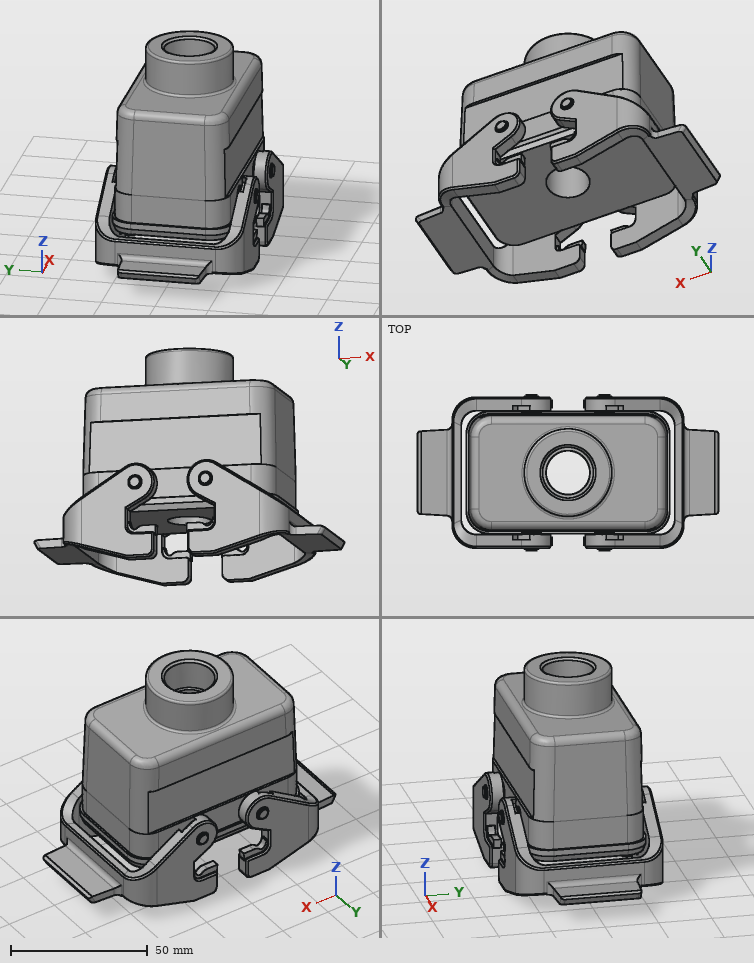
import cadquery as cq
import math


flange_half_x = 37.2
flange_half_y = 22.3
flange_corner = 8.4
flange_height = 4.6
flange_bevel_height = 2.3
flange_bevel_inset = 0.9
body_half_x = 36.3
body_half_y = 21.5
body_corner = 7.6
draft_start = 15.5
draft_angle = 1.4
body_top = 47.5
top_round = 3.0
panel_top = 34.3
panel_depth = 1.0

collar_diameter = 32.0
collar_top = 61.2
collar_round = 0.9
bore_diameter = 18.6
bore_depth = 12.3
bore_chamfer = 0.9
passage_diameter = 16.0

hinge_x = 13.3
hinge_z = 9.8
hinge_root = 20.4
boss_diameter = 7.0
boss_face = 22.0
pin_diameter = 5.2
pin_chamfer = 0.16
pin_shoulder = 27.9
pin_tip_diameter = 4.0
pin_end = 28.5

eye_radius = 7.0
arm_inner = 22.5
arm_outer = 27.6
wall_inner = 38.9
wall_outer = 42.4
bend_radius = 8.8
wall_top = -0.2
wall_bottom = -10.6
edge_bevel = 0.7
bend_sections = 9

throat_x = -16.4
throat_top = 0.0
throat_floor = -8.9
throat_round = 2.9
hook_end = -6.4
hook_bottom = -18.0
hook_heel = -16.6
hook_top_round = 0.8
hook_bottom_round = 2.4

lip_inner = 23.6
lip_outer = 26.5
lip_top = -6.3
lip_overhang = 0.5
lip_seat = (-13.4, -7.6)
lip_rise = -10.1
lip_heel = (-15.7, -4.6)

notch_outer = 24.4
notch_start = -20.2
notch_length = 6.9
notch_depth = 3.6

tab_end = 55.0
tab_top = -7.4
tab_neck_half = 15.7
tab_tip_half = 15.1
tab_tip_slope = 1.4
tab_tip_drop = 0.7
tab_tip_round = 1.3
tab_root_flare = 2.0


def rounded_block(half_x, half_y, corner, bottom, height):
    block = cq.Workplane("XY", origin=(0, 0, bottom)).rect(2 * half_x, 2 * half_y).extrude(height)
    return block.edges("|Z").fillet(corner)


def cylinder_along_y(x, diameter, y_from, y_to):
    """Cylinder on the hinge height, running along Y."""
    start = cq.Workplane("XZ", origin=(x, y_from, hinge_z))
    return start.circle(diameter / 2).extrude(y_from - y_to)


def make_flange():
    flange = rounded_block(flange_half_x, flange_half_y, flange_corner, 0, flange_height)
    return flange.faces("<Z").chamfer(flange_bevel_height, flange_bevel_inset)


def make_hood_shell():
    """Upright lower walls, drafted upper walls and a rounded top edge."""
    wall_start = flange_bevel_height
    lower = rounded_block(body_half_x, body_half_y, body_corner, wall_start, draft_start - wall_start)
    upper = cq.Workplane("XY", origin=(0, 0, draft_start)).rect(2 * body_half_x, 2 * body_half_y)
    upper = upper.extrude(body_top - draft_start, taper=draft_angle)
    upper = upper.edges("not #Z").fillet(body_corner)
    upper = upper.faces(">Z").edges().fillet(top_round)
    return lower.union(upper)


def panel_cutter(side):
    """Slab that sinks the label panel into a long wall, parallel to the drafted wall."""
    lean = (panel_top - draft_start) * math.tan(math.radians(draft_angle))
    floor = body_half_y - panel_depth
    points = [
        (side * floor, draft_start),
        (side * (floor - lean), panel_top),
        (side * flange_half_y, panel_top),
        (side * flange_half_y, draft_start),
    ]
    return cq.Workplane("YZ").polyline(points).close().extrude(flange_half_x, both=True)


def make_collar():
    radius = collar_diameter / 2
    collar = cq.Workplane("XY", origin=(0, 0, body_top)).circle(radius).extrude(collar_top - body_top)
    return collar.faces(">Z").edges().fillet(collar_round)


def make_collar_foot():
    """Concave round between the collar and the top of the hood."""
    radius = collar_diameter / 2
    sag = collar_round * (1 - math.sqrt(0.5))
    profile = (
        cq.Workplane("XZ")
        .moveTo(radius - collar_round, body_top)
        .lineTo(radius + collar_round, body_top)
        .threePointArc((radius + sag, body_top + sag), (radius, body_top + collar_round))
        .lineTo(radius - collar_round, body_top + collar_round)
        .close()
    )
    return profile.revolve(360, (0, 0, 0), (0, 1, 0))


def make_bore():
    rim = bore_diameter / 2 + bore_chamfer
    points = [
        (0, 0),
        (passage_diameter / 2, 0),
        (passage_diameter / 2, collar_top - bore_depth),
        (bore_diameter / 2, collar_top - bore_depth),
        (bore_diameter / 2, collar_top - bore_chamfer),
        (rim, collar_top),
        (0, collar_top),
    ]
    return cq.Workplane("XZ").polyline(points).close().revolve(360, (0, 0, 0), (0, 1, 0))


def make_hinge(x, side):
    """Boss and stepped pin that carry one arm of a lever."""
    root = side * hinge_root
    boss = cylinder_along_y(x, boss_diameter, root, side * boss_face)
    pin = cylinder_along_y(x, pin_diameter, root, side * pin_shoulder)
    pin = pin.faces(">Y" if side > 0 else "<Y").chamfer(pin_chamfer)
    tip = cylinder_along_y(x, pin_tip_diameter, root, side * pin_end)
    return boss.union(pin).union(tip)


def make_hood():
    hood = make_flange().union(make_hood_shell())
    for side in (-1, 1):
        hood = hood.cut(panel_cutter(side))
    hood = hood.union(make_collar()).union(make_collar_foot()).cut(make_bore())
    for side in (-1, 1):
        for x in (-hinge_x, hinge_x):
            hood = hood.union(make_hinge(x, side))
    return hood


bend_x = bend_radius - wall_outer
bend_y = arm_outer - bend_radius
bend_inner_radius = wall_inner + bend_x


def tangent_point(x, z, side):
    """Where a straight edge from (x, z) touches the eye around the hinge."""
    dx = x + hinge_x
    dz = z - hinge_z
    angle = math.atan2(dz, dx) + side * math.acos(eye_radius / math.hypot(dx, dz))
    return (-hinge_x + eye_radius * math.cos(angle), hinge_z + eye_radius * math.sin(angle))


upper_tangent = tangent_point(-wall_outer, wall_top, -1)
lower_tangent = tangent_point(throat_x, throat_top, 1)
upper_slope = (upper_tangent[1] - wall_top) / (upper_tangent[0] + wall_outer)
lower_slope = (hook_bottom - wall_bottom) / (hook_heel + wall_outer)


def make_arm():
    """Side arm with the hinge eye and the hook, bevelled around its outer face."""
    bulge = throat_round * math.sqrt(0.5)
    throat_corner = (throat_x + throat_round, throat_floor + throat_round)
    outline = (
        cq.Workplane("XZ", origin=(0, arm_inner, 0))
        .moveTo(bend_x, wall_top + upper_slope * bend_radius)
        .lineTo(*upper_tangent)
        .threePointArc((-hinge_x + eye_radius, hinge_z), lower_tangent)
        .lineTo(throat_x, throat_top)
        .lineTo(throat_x, throat_corner[1])
        .threePointArc(
            (throat_corner[0] - bulge, throat_corner[1] - bulge),
            (throat_corner[0], throat_floor),
        )
        .lineTo(hook_end - hook_top_round, throat_floor)
        .radiusArc((hook_end, throat_floor - hook_top_round), hook_top_round)
        .lineTo(hook_end, hook_bottom + hook_bottom_round)
        .radiusArc((hook_end - hook_bottom_round, hook_bottom), hook_bottom_round)
        .lineTo(hook_heel, hook_bottom)
        .lineTo(bend_x, wall_bottom + lower_slope * bend_radius)
        .close()
    )
    arm = outline.extrude(arm_inner - arm_outer)
    bevelled = arm.faces(">Y").edges().filter(lambda edge: edge.Center().x > bend_x + edge_bevel)
    return bevelled.chamfer(edge_bevel)


def bend_section(angle, side=1):
    """Upright section across a bend; the angle runs from the arm (0) to the wall (90 degrees)."""
    run = math.sin(angle)
    rise = math.cos(angle)
    outer = cq.Vector(bend_x - bend_radius * run, bend_y + bend_radius * rise)
    inner = cq.Vector(bend_x - bend_inner_radius * run, arm_inner - bend_inner_radius * (1 - rise))
    bevel = outer + (inner - outer).normalized() * edge_bevel
    top = wall_top + upper_slope * bend_radius * (1 - run)
    bottom = wall_bottom + lower_slope * bend_radius * (1 - run)
    top_bevel = edge_bevel * bevel_stretch(upper_slope, run)
    bottom_bevel = edge_bevel * bevel_stretch(lower_slope, run)
    corners = [
        (inner, top),
        (bevel, top),
        (outer, top - top_bevel),
        (outer, bottom + bottom_bevel),
        (bevel, bottom),
        (inner, bottom),
    ]
    return cq.Wire.makePolygon([cq.Vector(p.x, side * p.y, z) for p, z in corners], close=True)


def bevel_stretch(slope, run):
    """Upright height of a unit bevel: longer where it lies along the sloped arm."""
    return 1 + (math.hypot(1, slope) - 1) * (1 - run)


def make_bend():
    quarter = math.pi / 2
    angles = [quarter * i / (bend_sections - 1) for i in range(bend_sections)]
    return cq.Workplane(cq.Solid.makeLoft([bend_section(angle) for angle in angles]))


def make_wall():
    """Cross wall that joins the two bends."""
    ends = [bend_section(math.pi / 2, side) for side in (-1, 1)]
    return cq.Workplane(cq.Solid.makeLoft(ends, True))


def make_lip():
    """Catch inside the hook, narrower than the arm."""
    lip_end = hook_end + lip_overhang
    lip_root = throat_floor - hook_top_round
    outline = (
        cq.Workplane("XZ", origin=(0, lip_inner, 0))
        .moveTo(throat_x - edge_bevel, lip_heel[1])
        .lineTo(*lip_heel)
        .spline([lip_seat, (lip_rise, lip_top)], tangents=[(0, -1), (1, 0)], includeCurrent=True)
        .lineTo(lip_end, lip_top)
        .lineTo(hook_end + edge_bevel / 2, lip_root)
        .lineTo(throat_x - edge_bevel, lip_root)
        .close()
    )
    return outline.extrude(lip_inner - lip_outer)


def make_notch():
    """Slot square to the inner upper edge of an arm, beside the hinge eye."""
    angle = math.atan(upper_slope)
    along = cq.Vector(math.cos(angle), math.sin(angle)) * notch_length
    down = cq.Vector(math.sin(angle), -math.cos(angle)) * notch_depth
    start = cq.Vector(notch_start, wall_top + upper_slope * (notch_start + wall_outer))
    corners = [start - down, start + down, start + down + along, start - down + along]
    outline = cq.Workplane("XZ", origin=(0, arm_inner, 0)).polyline([(c.x, c.y) for c in corners]).close()
    return outline.extrude(arm_inner - notch_outer)


def make_side():
    """Everything of the lever on its +Y side."""
    washer = cylinder_along_y(-hinge_x, boss_diameter, boss_face, arm_inner)
    pin_hole = cylinder_along_y(-hinge_x, pin_diameter, boss_face, arm_outer)
    arm = make_arm().union(make_lip()).cut(make_notch())
    return arm.union(washer).cut(pin_hole).union(make_bend())


def make_tab():
    """Finger tab: a plate with an undercut, rounded tip and a concave flare at its root."""
    buried = edge_bevel - wall_outer
    neck = -wall_outer - tab_root_flare
    bulge = tab_root_flare * (1 - math.sqrt(0.5))
    undercut = tab_tip_slope / (tab_top - tab_tip_drop - wall_bottom)
    sharp_end = -tab_end - undercut * tab_tip_drop
    profile = (
        cq.Workplane("XZ")
        .moveTo(buried, tab_top + tab_root_flare)
        .lineTo(-wall_outer, tab_top + tab_root_flare)
        .threePointArc((-wall_outer - bulge, tab_top + bulge), (neck, tab_top))
        .lineTo(sharp_end, tab_top)
        .lineTo(tab_tip_slope - tab_end, wall_bottom)
        .lineTo(buried, wall_bottom)
        .close()
    )
    flare_half = tab_neck_half + tab_root_flare
    plan = (
        cq.Workplane("XY", origin=(0, 0, wall_bottom))
        .moveTo(buried, flare_half)
        .lineTo(-wall_outer, flare_half)
        .threePointArc((-wall_outer - bulge, tab_neck_half + bulge), (neck, tab_neck_half))
        .lineTo(sharp_end, tab_tip_half)
        .lineTo(sharp_end, -tab_tip_half)
        .lineTo(neck, -tab_neck_half)
        .threePointArc((-wall_outer - bulge, -tab_neck_half - bulge), (-wall_outer, -flare_half))
        .lineTo(buried, -flare_half)
        .close()
    )
    tab = profile.extrude(flare_half, both=True).intersect(plan.extrude(-wall_bottom))
    tip_corners = tab.faces("<X").edges().filter(lambda edge: abs(edge.Center().y) > tab_tip_half / 2)
    tab = tip_corners.fillet(tab_tip_round)
    bevel = [
        (tab_tip_slope - tab_end, tab_top),
        (sharp_end, tab_top),
        (-tab_end, tab_top - tab_tip_drop),
    ]
    return tab.cut(cq.Workplane("XZ").polyline(bevel).close().extrude(tab_neck_half, both=True))


def make_lever():
    side = make_side()
    return side.union(make_wall()).union(side.mirror("XZ")).union(make_tab())


hood = make_hood()
lever = make_lever()
levers = [lever.rotate((0, 0, 0), (0, 0, 1), angle) for angle in (0, 180)]

result = cq.Compound.makeCompound([hood.val(), *[body.val() for body in levers]])